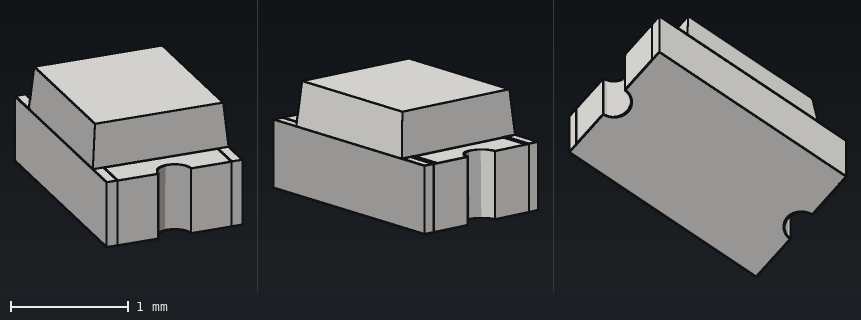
import cadquery as cq
import math


overall_length = 2.01
width = 1.25
overall_height = 1.0

plating = 0.002
substrate_length = overall_length - 2 * plating
substrate_height = 0.6
notch_radius = 0.15

lens_length = 1.403
lens_height = overall_height - substrate_height
lens_draft = 4.9
lens_draft_inset = lens_height * math.tan(math.radians(lens_draft))

terminal_width = 1.05
notch_lining = 0.01
pad_length = (substrate_length - lens_length) / 2

mark_thickness = 0.002
mark_gap = 0.98
mark_width = (width - mark_gap) / 2


def notch_cylinder(center_x):
    """Upright cylinder through the substrate height, at the middle of the width."""
    return cq.Workplane("XY").center(center_x, 0).circle(notch_radius).extrude(substrate_height)


def top_pad():
    """Plating on the top of the -X end, from the end of the substrate to the lens."""
    return (
        cq.Workplane("XY")
        .workplane(offset=substrate_height - plating)
        .center(-substrate_length / 2 + pad_length / 2, 0)
        .rect(pad_length, terminal_width)
        .extrude(plating)
    )


def make_terminal():
    """Terminal of the -X end: top pad, end plate and notch lining in one piece."""
    end_plate = (
        cq.Workplane("XY")
        .center(-overall_length / 2 + plating / 2, 0)
        .rect(plating, terminal_width)
        .extrude(substrate_height)
    )
    part_envelope = cq.Workplane("XY").rect(overall_length, width).extrude(substrate_height)
    lining = notch_cylinder(-substrate_length / 2).intersect(part_envelope)
    open_notch = notch_cylinder(-substrate_length / 2 - notch_lining)
    return top_pad().union(end_plate).union(lining).cut(open_notch)


def make_substrate():
    """Plain board with both end notches and a shallow recess under each top pad."""
    board = cq.Workplane("XY").rect(substrate_length, width).extrude(substrate_height)
    end_cut = notch_cylinder(-substrate_length / 2).union(top_pad())
    return board.cut(end_cut).cut(end_cut.mirror("YZ"))


def make_lens():
    """Lens over the full width of the substrate, narrowing upward on all sides."""
    return (
        cq.Workplane("XY")
        .workplane(offset=substrate_height)
        .rect(lens_length, width)
        .workplane(offset=lens_height)
        .rect(lens_length - 2 * lens_draft_inset, width - 2 * lens_draft_inset)
        .loft(ruled=True)
    )


def make_mark(side):
    """Polarity mark on top of the -X end, along the +Y (side = 1) or -Y (side = -1) edge."""
    return (
        cq.Workplane("XY")
        .workplane(offset=substrate_height)
        .center(-substrate_length / 2 + pad_length / 2, side * (width - mark_width) / 2)
        .rect(pad_length, mark_width)
        .extrude(mark_thickness)
    )


substrate = make_substrate()
lens = make_lens()
left_terminal = make_terminal()
right_terminal = left_terminal.mirror("YZ")
marks = [make_mark(side) for side in (-1, 1)]

bodies = [substrate, lens, left_terminal, right_terminal, *marks]
result = cq.Compound.makeCompound([body.solids().val() for body in bodies])